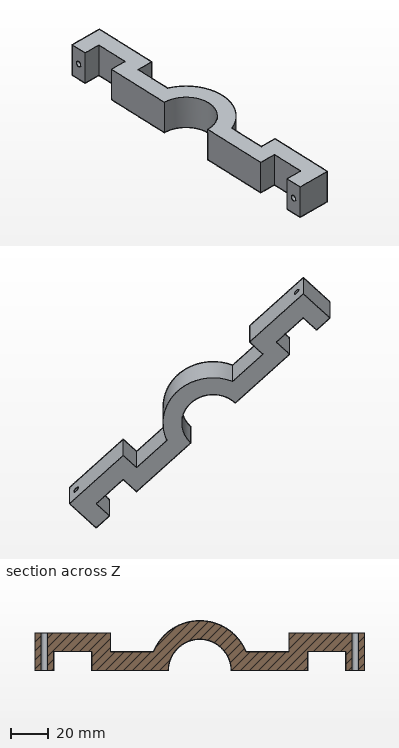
import cadquery as cq
import math

length = 174.0
height = 20.0
depth = 20.0
wall = depth / 2
slot_width = 20.0
bore_radius = 16.5
arch_radius = 26.5
hole_diameter = 3.3

half_length = length / 2
slot_outer_x = half_length - wall
slot_inner_x = slot_outer_x - slot_width
step_x = slot_inner_x - wall
arch_foot_x = math.sqrt(arch_radius**2 - wall**2)
hole_x = half_length - wall / 2

right_side = [
    (arch_foot_x, wall),
    (step_x, wall),
    (step_x, depth),
    (half_length, depth),
    (half_length, 0),
    (slot_outer_x, 0),
    (slot_outer_x, wall),
    (slot_inner_x, wall),
    (slot_inner_x, 0),
    (bore_radius, 0),
]
left_side = [(-x, y) for x, y in reversed(right_side)]


def make_clamp_body():
    """Extrude the mirrored profile with its half-round bore and arch."""
    profile = cq.Workplane("XY").moveTo(*right_side[0])
    for point in right_side[1:]:
        profile = profile.lineTo(*point)
    profile = profile.threePointArc((0, bore_radius), left_side[0])
    for point in left_side[1:]:
        profile = profile.lineTo(*point)
    profile = profile.threePointArc((0, arch_radius), right_side[0])
    return profile.close().extrude(height)


def make_screw_holes():
    """Cylinders along Y through the outer leg of each hooked end."""
    return (
        cq.Workplane("XZ")
        .pushPoints([(-hole_x, height / 2), (hole_x, height / 2)])
        .circle(hole_diameter / 2)
        .extrude(-depth)
    )


result = make_clamp_body().cut(make_screw_holes())